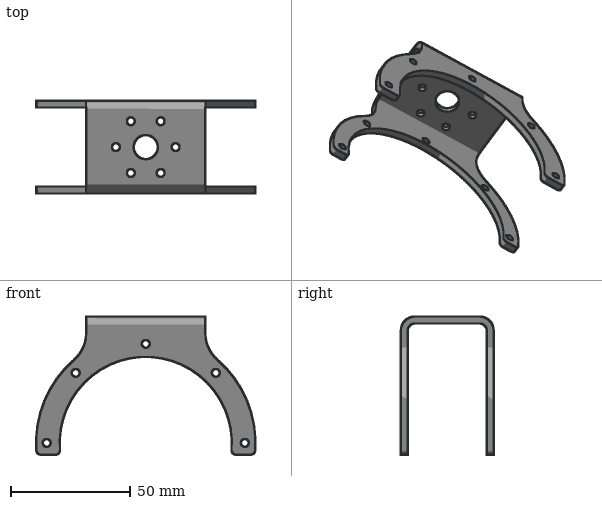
import cadquery as cq
import math

sheet_thickness = 3.0
bracket_depth = 39.0
bracket_height = 58.0
web_width = 50.0
bend_outer_radius = 6.0
bend_inner_radius = bend_outer_radius - sheet_thickness

arch_center_z = 5.0
front_arch_inner_radius = 36.0
rear_arch_inner_radius = 38.5
arch_outer_radius = 46.0
neck_radius = 15.0
foot_corner_radius = 2.0
flange_hole_diameter = 3.2
flange_hole_circle_radius = 41.5
flange_hole_spacing = 45.0
flange_hole_count = 5

web_bore_diameter = 10.0
web_hole_diameter = 3.2
web_hole_circle_diameter = 25.0
web_hole_count = 6

full_turn = 360.0
half_web = web_width / 2
half_depth = bracket_depth / 2
beyond_part = 2 * arch_outer_radius


def polar_point(radius, angle):
    """Point in XZ at an angle in radians about the arch centre."""
    return radius * math.cos(angle), arch_center_z + radius * math.sin(angle)


def make_bent_channel():
    """Full-width inverted U, wide enough to cover the arch."""
    width = 2 * arch_outer_radius
    inner_depth = bracket_depth - 2 * sheet_thickness
    inner_height = bracket_height - sheet_thickness
    outer = (
        cq.Workplane("XY")
        .box(width, bracket_depth, bracket_height, centered=(True, True, False))
        .edges("|X and >Z")
        .fillet(bend_outer_radius)
    )
    inner = (
        cq.Workplane("XY")
        .box(width, inner_depth, inner_height, centered=(True, True, False))
        .edges("|X and >Z")
        .fillet(bend_inner_radius)
    )
    return outer.cut(inner)


def make_side_profile(arch_inner_radius, extrude_length):
    """Outline of the bracket in XZ, extruded from Y = 0; a positive length runs toward -Y."""
    neck_angle = math.acos((half_web + neck_radius) / (arch_outer_radius + neck_radius))
    neck_center_x, neck_center_z = polar_point(arch_outer_radius + neck_radius, neck_angle)
    neck_end_x, neck_end_z = polar_point(arch_outer_radius, neck_angle)
    neck_mid_angle = math.pi + neck_angle / 2
    neck_mid_x = neck_center_x + neck_radius * math.cos(neck_mid_angle)
    neck_mid_z = neck_center_z + neck_radius * math.sin(neck_mid_angle)

    foot_outer_x = math.sqrt(arch_outer_radius**2 - arch_center_z**2)
    foot_inner_x = math.sqrt(arch_inner_radius**2 - arch_center_z**2)
    arch_inner_top = (0, arch_center_z + arch_inner_radius)

    profile = (
        cq.Workplane("XZ")
        .moveTo(-half_web, bracket_height)
        .lineTo(half_web, bracket_height)
        .lineTo(half_web, neck_center_z)
        .threePointArc((neck_mid_x, neck_mid_z), (neck_end_x, neck_end_z))
        .threePointArc((arch_outer_radius, arch_center_z), (foot_outer_x, 0))
        .lineTo(foot_inner_x, 0)
        .threePointArc(arch_inner_top, (-foot_inner_x, 0))
        .lineTo(-foot_outer_x, 0)
        .threePointArc((-arch_outer_radius, arch_center_z), (-neck_end_x, neck_end_z))
        .threePointArc((-neck_mid_x, neck_mid_z), (-half_web, neck_center_z))
        .close()
        .extrude(extrude_length)
    )
    foot_corners = cq.selectors.BoxSelector(
        (-beyond_part, -beyond_part, -foot_corner_radius),
        (beyond_part, beyond_part, foot_corner_radius),
    )
    return profile.edges("|Y").edges(foot_corners).fillet(foot_corner_radius)


def make_flange_holes():
    """Cutting pins through both flanges, evenly spread along the arch."""
    spacing = math.radians(flange_hole_spacing)
    centers = [polar_point(flange_hole_circle_radius, i * spacing) for i in range(flange_hole_count)]
    return (
        cq.Workplane("XZ")
        .pushPoints(centers)
        .circle(flange_hole_diameter / 2)
        .extrude(half_depth, both=True)
    )


def make_web_holes():
    """Cutting pins for the central bore and its surrounding bolt circle through the web."""
    web_underside = bracket_height - sheet_thickness
    plane = cq.Workplane("XY").workplane(offset=web_underside)
    bore = plane.circle(web_bore_diameter / 2).extrude(sheet_thickness)
    bolts = (
        plane.polarArray(web_hole_circle_diameter / 2, 0, full_turn, web_hole_count)
        .circle(web_hole_diameter / 2)
        .extrude(sheet_thickness)
    )
    return bore.union(bolts)


front_half = make_side_profile(front_arch_inner_radius, half_depth)
rear_half = make_side_profile(rear_arch_inner_radius, -half_depth)
bracket = make_bent_channel().intersect(front_half.union(rear_half)).clean()
bracket = bracket.cut(make_flange_holes()).cut(make_web_holes())
result = cq.Workplane("XY").newObject([bracket.solids().val()])